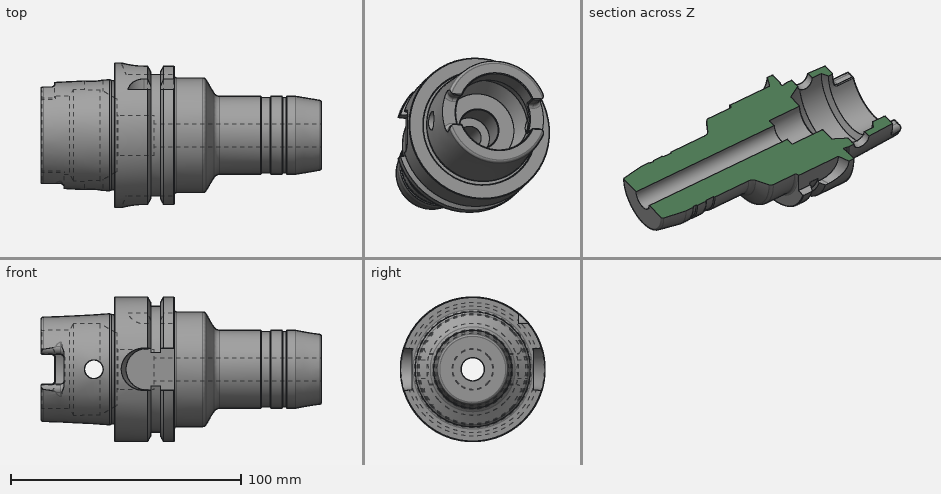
import math

import cadquery as cq


shank_length = 32.0
gauge_distance = 6.3
gauge_radius = 24.0
taper_slope = 0.05
mouth_fillet = 1.2

relief_start = -2.2
relief_bottom_start = -1.4
relief_bottom_end = -0.7
relief_radius = 23.9
relief_inner_radius = 23.6
relief_face_radius = 25.4
relief_face_depth = 0.3

flange_radius = 31.5
flange_length = 26.0
flange_edge_chamfer = 0.3
groove_start = 15.8
groove_end = 19.9
groove_radius = 27.5
groove_lip_radius = 29.0
groove_lip_width = 1.45

body_radius = 25.0
body_root_fillet = 1.0
neck_start = 39.3
neck_end = 44.0
body_fillet = 1.9
neck_fillet = 3.0
nose_radius = 17.0
nose_grooves = [(63.5, 68.1), (72.7, 75.0)]
nose_groove_depth = 0.5
nose_groove_flank = 0.45
tip_start = 78.7
tip_radius = 15.1
tip_fillet = 0.9
nose_end = 90.0

bore_radius = 17.0
bore_edge_chamfer = 0.4
clamp_start = -19.5
clamp_radius = 20.0
clamp_angle = 60.0
floor_cone_start = -6.3
floor_cone_angle = 30.0
cavity_floor_radius = 15.7
thread_radius = 9.0
thread_chamfer = 0.3
thread_length = 16.0
coolant_radius = 5.0

slot_half_width = 6.4
slot_depths = {-1: 10.0, 1: 6.0}
slot_flare_radius = 2.5
flare_tangent_x = -25.4
slot_floor_fillet = 1.5
flare_tail = 6.0
slot_inner_offset = 10.0
slot_mouth_chamfer = 0.5

cross_hole_x = -9.0
cross_hole_radius = 4.0

pocket_floor_distance = 26.5
pocket_floor_radius = 9.0
pocket_floor_center = 14.0
pocket_rim_radius = 9.3
pocket_rim_center = 12.2

notch_y = 19.9
notch_z = 19.8
notch_flat_start = 12.8
notch_runout_radius = 7.7


def taper_radius(x):
    return gauge_radius + taper_slope * (x + gauge_distance)


def revolve_about_x(outline):
    return outline.close().revolve(360, (0, 0, 0), (1, 0, 0))


def circles_at(x):
    """Selector for circular edges centred on the axis at X = x."""
    tol = 0.01
    return cq.selectors.BoxSelector((x - tol, -tol, -tol), (x + tol, tol, tol))


def outer_body():
    points = [
        (-shank_length, 0),
        (-shank_length, taper_radius(-shank_length)),
        (relief_start, taper_radius(relief_start)),
        (relief_bottom_start, relief_radius),
        (relief_bottom_end, relief_radius),
        (relief_face_depth, relief_inner_radius),
        (relief_face_depth, relief_face_radius - relief_face_depth),
        (0, relief_face_radius),
        (0, flange_radius - flange_edge_chamfer),
        (flange_edge_chamfer, flange_radius),
        (groove_start - groove_lip_width, flange_radius),
        (groove_start, groove_lip_radius),
        (groove_start, groove_radius),
        (groove_end, groove_radius),
        (groove_end, groove_lip_radius),
        (groove_end + groove_lip_width, flange_radius),
        (flange_length - flange_edge_chamfer, flange_radius),
        (flange_length, flange_radius - flange_edge_chamfer),
        (flange_length, body_radius),
        (neck_start, body_radius),
        (neck_end, nose_radius),
    ]
    for start, end in nose_grooves:
        bottom = nose_radius - nose_groove_depth
        points += [
            (start, nose_radius),
            (start + nose_groove_flank, bottom),
            (end - nose_groove_flank, bottom),
            (end, nose_radius),
        ]
    points += [(tip_start, nose_radius), (nose_end, tip_radius), (nose_end, 0)]
    body = revolve_about_x(cq.Workplane("XY").polyline(points))
    body = body.edges(circles_at(-shank_length)).fillet(mouth_fillet)
    body = body.edges(circles_at(neck_start)).fillet(body_fillet)
    body = body.edges(circles_at(neck_end)).fillet(neck_fillet)
    body = body.edges(circles_at(nose_end)).fillet(tip_fillet)
    root = cq.selectors.RadiusNthSelector(0)
    return body.edges(circles_at(flange_length)).edges(root).fillet(body_root_fillet)


def cavity():
    clamp_length = (clamp_radius - bore_radius) / math.tan(math.radians(clamp_angle))
    floor_cone_drop = clamp_radius - cavity_floor_radius
    cavity_end = floor_cone_start + floor_cone_drop / math.tan(math.radians(floor_cone_angle))
    thread_end = cavity_end + thread_length
    points = [
        (-shank_length, 0),
        (-shank_length, bore_radius),
        (clamp_start, bore_radius),
        (clamp_start + clamp_length, clamp_radius),
        (floor_cone_start, clamp_radius),
        (cavity_end, cavity_floor_radius),
        (cavity_end, thread_radius),
        (cavity_end + thread_chamfer, thread_radius - thread_chamfer),
        (thread_end, thread_radius - thread_chamfer),
        (thread_end, coolant_radius),
        (nose_end, coolant_radius),
        (nose_end, 0),
    ]
    return revolve_about_x(cq.Workplane("XY").polyline(points))


def drive_slot(side):
    """Drive slot cutter whose walls flare out where they meet the taper surface."""
    tangent_radius = taper_radius(flare_tangent_x)
    center_z = slot_half_width + slot_flare_radius
    center_y = math.sqrt((tangent_radius - slot_flare_radius) ** 2 - center_z ** 2)
    flare_angle = math.atan2(center_z, center_y)

    def flare_point(angle):
        y = center_y + slot_flare_radius * math.cos(angle)
        z = center_z + slot_flare_radius * math.sin(angle)
        return y, z

    wall_angle = -math.pi / 2
    start = flare_point(wall_angle)
    middle = flare_point((wall_angle + flare_angle) / 2)
    end = flare_point(flare_angle)

    tail_y = end[0] - flare_tail * math.sin(flare_angle)
    tail_z = end[1] + flare_tail * math.cos(flare_angle)

    outline = (
        cq.Workplane("YZ", origin=(-shank_length, 0, 0))
        .moveTo(side * slot_inner_offset, -slot_half_width)
        .lineTo(side * start[0], -start[1])
        .threePointArc((side * middle[0], -middle[1]), (side * end[0], -end[1]))
        .lineTo(side * tail_y, -tail_z)
        .lineTo(side * flange_radius, -tail_z)
        .lineTo(side * flange_radius, tail_z)
        .lineTo(side * tail_y, tail_z)
        .lineTo(side * end[0], end[1])
        .threePointArc((side * middle[0], middle[1]), (side * start[0], start[1]))
        .lineTo(side * slot_inner_offset, slot_half_width)
        .close()
    )
    slot = outline.extrude(slot_depths[side])
    return slot.faces(">X").edges("not |Z").fillet(slot_floor_fillet)


def slot_mouth_bevel(side):
    """Sloped edge break where the slot walls meet the mouth face."""
    bevel_end = -shank_length + slot_mouth_chamfer
    wide_half_width = slot_half_width + slot_mouth_chamfer
    return (
        cq.Workplane("XZ")
        .moveTo(-shank_length, -wide_half_width)
        .lineTo(-shank_length, wide_half_width)
        .lineTo(bevel_end, slot_half_width)
        .lineTo(bevel_end, -slot_half_width)
        .close()
        .extrude(-side * flange_radius)
    )


def is_bore_rim(edge):
    """True for the edges around the bore mouth and the slots that break into the bore."""
    tol = 0.01
    deepest_slot_floor = -shank_length + max(slot_depths.values())
    points = [edge.startPoint(), edge.positionAt(0.5), edge.endPoint()]
    on_bore = all(abs(math.hypot(p.y, p.z) - bore_radius) < tol for p in points)
    return on_bore and all(p.x < deepest_slot_floor + tol for p in points)


def cross_hole():
    return (
        cq.Workplane("XZ", origin=(cross_hole_x, 0, 0))
        .circle(cross_hole_radius)
        .extrude(flange_radius, both=True)
    )


def gripper_pocket(side):
    """Pocket with a round end whose wall leans outwards from floor to rim."""

    def outline(center_x, radius):
        return (
            cq.Workplane("XZ")
            .moveTo(flange_length, radius)
            .lineTo(center_x, radius)
            .threePointArc((center_x - radius, 0), (center_x, -radius))
            .lineTo(flange_length, -radius)
            .close()
            .val()
        )

    floor = outline(pocket_floor_center, pocket_floor_radius)
    rim = outline(pocket_rim_center, pocket_rim_radius)
    floor = floor.translate(cq.Vector(0, side * pocket_floor_distance, 0))
    rim = rim.translate(cq.Vector(0, side * flange_radius, 0))
    return cq.Workplane(cq.Solid.makeLoft([floor, rim], True))


def orientation_notch():
    """Right-angled rim notch whose floor runs out along an arc towards the flange face."""
    top = notch_z + notch_runout_radius
    diagonal = notch_runout_radius * math.sqrt(0.5)
    return (
        cq.Workplane("XZ", origin=(0, notch_y, 0))
        .moveTo(flange_length, notch_z)
        .lineTo(notch_flat_start, notch_z)
        .threePointArc(
            (notch_flat_start - diagonal, top - diagonal),
            (notch_flat_start - notch_runout_radius, top),
        )
        .lineTo(flange_length, top)
        .close()
        .extrude(-flange_radius)
    )


sides = (-1, 1)
part = outer_body().cut(cavity())
for side in sides:
    part = part.cut(drive_slot(side))
bore_rim = [edge for edge in part.edges().vals() if is_bore_rim(edge)]
part = part.newObject(bore_rim).chamfer(bore_edge_chamfer)
for side in sides:
    part = part.cut(slot_mouth_bevel(side)).cut(gripper_pocket(side))
result = part.cut(cross_hole()).cut(orientation_notch())